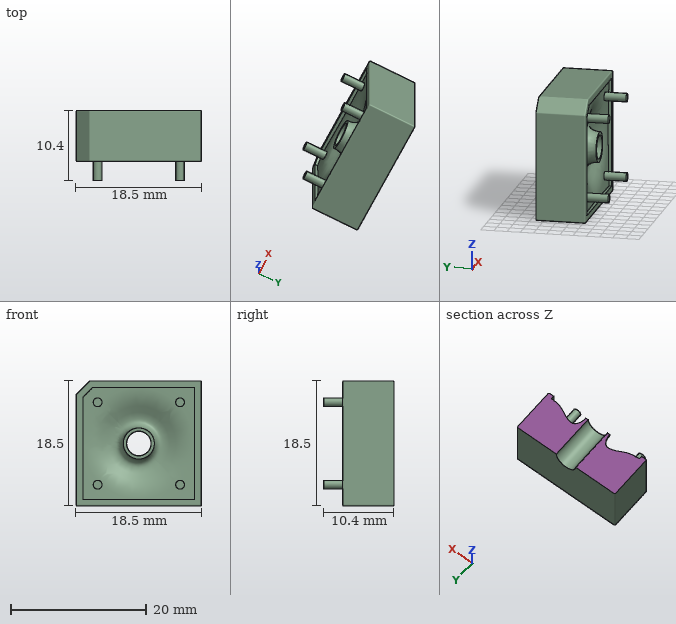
import cadquery as cq

side = 18.54
case_depth = 7.6
corner_cut = 2.0
edge_round = 0.2
wall = 1.0

hole_diameter = 3.6
tube_diameter = 4.6

pin_diameter = 1.3
pin_pitch = 12.2
pin_length = 2.82

inner_side = side - 2 * wall
tube_radius = tube_diameter / 2
corner_radius = side / 2 ** 0.5
potting_start = (tube_radius, 0.35)
potting_dip = [(2.6, 1.33), (3.15, 1.87), (3.76, 1.91), (6.23, 0.85), (inner_side / 2, 0.52)]
potting_end = (corner_radius, 0.32)
seam_angle = 45


def make_case():
    """Solid block with one cut corner and lightly rounded edges."""
    return (
        cq.Workplane("XZ")
        .rect(side, side)
        .extrude(-case_depth)
        .edges("|Y and <X and >Z")
        .chamfer(corner_cut)
        .edges()
        .fillet(edge_round)
    )


def make_opening():
    """Prism inside the case walls, with its corner cut to keep the wall even."""
    inner_cut = corner_cut - wall * (2 - 2 ** 0.5)
    return (
        cq.Workplane("XZ")
        .rect(inner_side, inner_side)
        .extrude(-case_depth)
        .edges("|Y and <X and >Z")
        .chamfer(inner_cut)
    )


def make_dish():
    """Round space above the potting and around the sleeve, joined from two half turns."""
    half = (
        cq.Workplane("XY")
        .moveTo(tube_radius, 0)
        .lineTo(*potting_start)
        .spline(potting_dip + [potting_end], includeCurrent=True)
        .lineTo(corner_radius, 0)
        .close()
        .revolve(180, (0, 0, 0), (0, 1, 0))
        .rotate((0, 0, 0), (0, 1, 0), seam_angle)
    )
    other_half = half.rotate((0, 0, 0), (0, 1, 0), 180)
    return half.union(other_half)


def make_pins():
    """Four round pins, rooted in the case below the potting surface."""
    root_depth = case_depth / 2
    return (
        cq.Workplane("XZ", origin=(0, root_depth, 0))
        .rect(pin_pitch, pin_pitch, forConstruction=True)
        .vertices()
        .circle(pin_diameter / 2)
        .extrude(root_depth + pin_length)
    )


cavity = make_dish().intersect(make_opening())
mounting_hole = cq.Workplane("XZ").circle(hole_diameter / 2).extrude(-case_depth)

result = make_case().cut(cavity).cut(mounting_hole).union(make_pins())